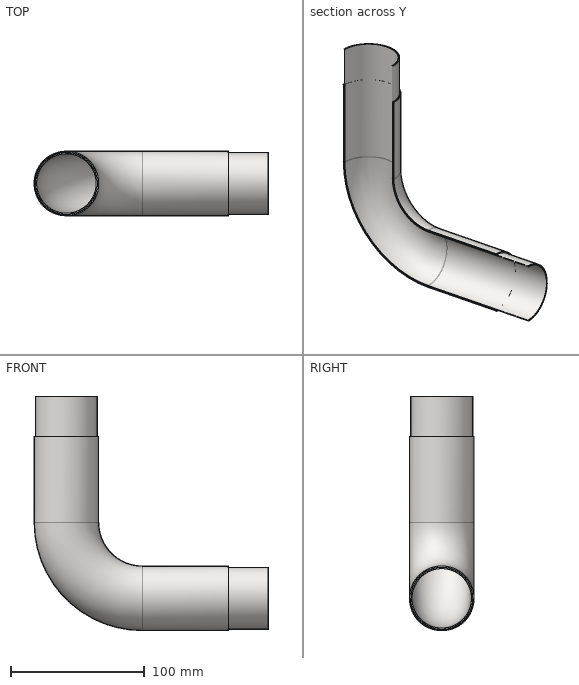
import cadquery as cq
import math

overall_length = 175.2

jacket_diameter = 48.3
liner_diameter = 46.5
bore_diameter = 44.5

bend_radius = 56.7
liner_projection = 30.0

liner_leg_end = overall_length - jacket_diameter / 2
jacket_leg_end = liner_leg_end - liner_projection


def elbow_path(leg_end):
    """Centreline with two equal straight legs joined by a tangent quarter bend."""
    bend_middle = bend_radius * (1 - math.sqrt(0.5))
    return (
        cq.Workplane("XZ")
        .moveTo(0, leg_end)
        .lineTo(0, bend_radius)
        .threePointArc((bend_middle, bend_middle), (bend_radius, 0))
        .lineTo(leg_end, 0)
    )


def elbow_tube(leg_end, outer_diameter, inner_diameter):
    """Hollow elbow, open at the ends of both legs."""
    return (
        cq.Workplane("XY", origin=(0, 0, leg_end))
        .circle(outer_diameter / 2)
        .circle(inner_diameter / 2)
        .sweep(elbow_path(leg_end))
    )


jacket = elbow_tube(jacket_leg_end, jacket_diameter, liner_diameter)

liner = elbow_tube(liner_leg_end, liner_diameter, bore_diameter)

result = cq.Compound.makeCompound([jacket.val(), liner.val()])